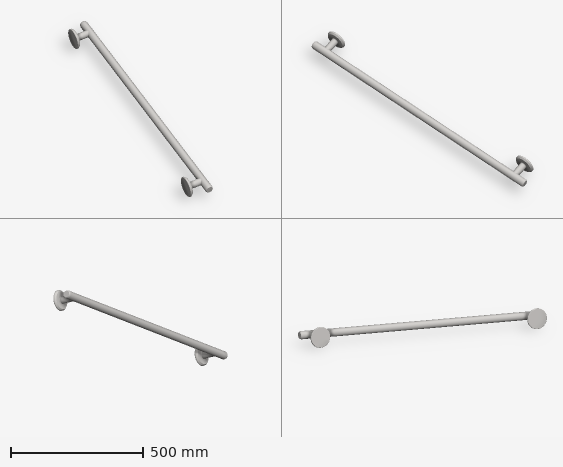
import cadquery as cq

overall_length = 1010.0
overall_depth = 89.0

bar_radius = 31.0 / 2
bar_crown_length = 7.0
bar_crown_drop = 2.5
bar_crown_bulge = 0.6

post_spacing = 900.0
post_radius = 27.0 / 2
post_base_fillet = 2.0

flange_radius = 80.0 / 2
flange_thickness = 12.0
flange_base_chamfer = 1.5
flange_bevel_height = 6.0
flange_bevel_drop = 5.0

wall_y = bar_radius - overall_depth


def make_bar():
    """Round bar whose ends fall away in a shallow convex arc to flat end faces."""
    end_x = overall_length / 2
    crown_x = end_x - bar_crown_length
    end_radius = bar_radius - bar_crown_drop
    profile = (
        cq.Workplane("XY")
        .moveTo(-end_x, 0)
        .lineTo(-end_x, end_radius)
        .sagittaArc((-crown_x, bar_radius), bar_crown_bulge)
        .lineTo(crown_x, bar_radius)
        .sagittaArc((end_x, end_radius), bar_crown_bulge)
        .lineTo(end_x, 0)
        .close()
    )
    return profile.revolve(360, (0, 0), (1, 0))


def make_support(center_x):
    """Wall flange and post turned as one piece, reaching up to the bar axis."""
    bevel_start = flange_thickness - flange_bevel_height
    profile = (
        cq.Workplane("XY", origin=(center_x, wall_y, 0))
        .moveTo(0, 0)
        .lineTo(flange_radius - flange_base_chamfer, 0)
        .lineTo(flange_radius, flange_base_chamfer)
        .lineTo(flange_radius, bevel_start)
        .lineTo(flange_radius - flange_bevel_drop, flange_thickness)
        .lineTo(post_radius + post_base_fillet, flange_thickness)
        .radiusArc((post_radius, flange_thickness + post_base_fillet), post_base_fillet)
        .lineTo(post_radius, -wall_y)
        .lineTo(0, -wall_y)
        .close()
    )
    return profile.revolve(360, (0, 0), (0, 1))


result = make_bar()
for side in (-1, 1):
    result = result.union(make_support(side * post_spacing / 2))